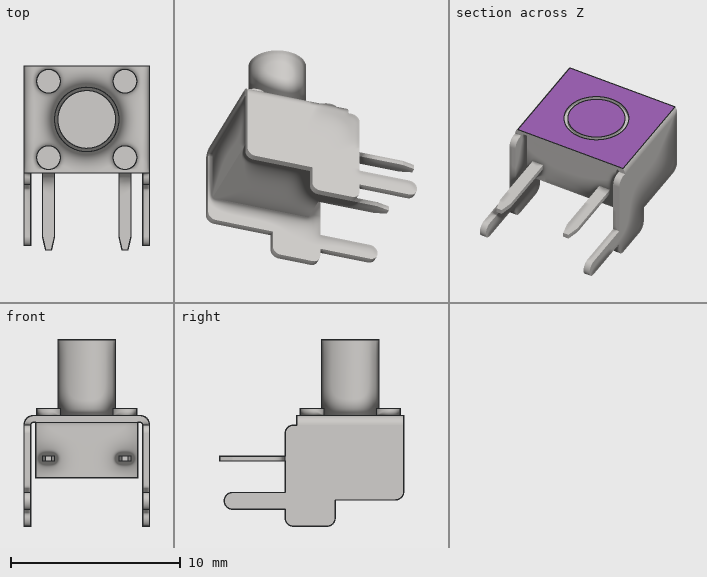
import cadquery as cq

total_height = 11.0

bracket_width = 7.4
bracket_depth = 6.31
sheet = 0.41
bracket_top = 6.53
bend_radius = 0.57
corner_radius = 0.5
wall_front = -3.84
wall_bottom = 1.55
foot_back = -0.88
tab_end = -7.42
tab_bottom = 1.0
tab_width = 1.0
cover_hole_diameter = 3.8

body_width = 6.01
body_depth = 6.01
body_bottom = 2.86
button_diameter = 3.4
stud_diameter = 1.4
stud_height = 0.41
pitch = 4.5

pin_width = 0.72
pin_thickness = 0.3
pin_bottom = 3.84
pin_tip = -7.69
pin_tip_width = 0.35
pin_taper_length = 0.77

half_width = bracket_width / 2
half_depth = bracket_depth / 2
half_pitch = pitch / 2
cover_underside = bracket_top - sheet
wall_top = bracket_top - bend_radius


def box_between(x_min, x_max, y_min, y_max, z_min, z_max):
    """Axis-aligned box given by its limits."""
    size = (x_max - x_min, y_max - y_min, z_max - z_min)
    return cq.Workplane("XY").box(*size, centered=False).translate((x_min, y_min, z_min))


def make_cover():
    """Top plate with its two rounded bends, down to where the walls begin."""
    inner_half_width = half_width - sheet
    inner_radius = bend_radius - sheet
    profile = (
        cq.Workplane("XZ", origin=(0, half_depth, 0))
        .moveTo(-half_width, wall_top)
        .radiusArc((bend_radius - half_width, bracket_top), bend_radius)
        .lineTo(half_width - bend_radius, bracket_top)
        .radiusArc((half_width, wall_top), bend_radius)
        .lineTo(inner_half_width, wall_top)
        .radiusArc((inner_half_width - inner_radius, cover_underside), -inner_radius)
        .lineTo(inner_radius - inner_half_width, cover_underside)
        .radiusArc((-inner_half_width, wall_top), -inner_radius)
        .close()
    )
    cover = profile.extrude(bracket_depth)
    hole = cq.Workplane("XY").workplane(offset=wall_top).circle(cover_hole_diameter / 2).extrude(bend_radius)
    return cover.cut(hole)


def make_wall(x_min):
    """Side wall with a lower foot and a round-ended tab pointing to -Y."""
    x_max = x_min + sheet
    panel = box_between(x_min, x_max, wall_front, half_depth, wall_bottom, wall_top)
    panel = panel.edges("|X").edges("(<Y and >Z) or (>Y and <Z)").fillet(corner_radius)
    foot = box_between(x_min, x_max, wall_front, foot_back, 0, wall_bottom + corner_radius)
    foot = foot.edges("|X and <Z").fillet(corner_radius)

    tab_radius = tab_width / 2
    tab_round_start = tab_end + tab_radius
    tab_top = tab_bottom + tab_width
    tab_root = wall_front + corner_radius
    tab = (
        cq.Workplane("YZ", origin=(x_min, 0, 0))
        .moveTo(tab_root, tab_bottom)
        .lineTo(tab_round_start, tab_bottom)
        .threePointArc((tab_end, tab_bottom + tab_radius), (tab_round_start, tab_top))
        .lineTo(tab_root, tab_top)
        .close()
        .extrude(sheet)
    )
    return panel.union(foot).union(tab)


def make_body():
    """Rectangular switch housing below the cover."""
    return box_between(-body_width / 2, body_width / 2, -body_depth / 2, body_depth / 2,
                       body_bottom, cover_underside)


def make_button():
    """Round plunger standing on the housing, clear of the cover hole."""
    return (
        cq.Workplane("XY")
        .workplane(offset=cover_underside)
        .circle(button_diameter / 2)
        .extrude(total_height - cover_underside)
    )


def make_studs():
    """Four rivet heads on the cover."""
    return (
        cq.Workplane("XY")
        .workplane(offset=bracket_top)
        .rarray(pitch, pitch, 2, 2)
        .circle(stud_diameter / 2)
        .extrude(stud_height)
    )


def make_pin(x_center):
    """Flat contact pin leaving the front of the housing, with a tapered tip."""
    root = -body_depth / 2
    taper_start = pin_tip + pin_taper_length
    return (
        cq.Workplane("XY", origin=(x_center, 0, pin_bottom))
        .polyline([
            (-pin_width / 2, root),
            (-pin_width / 2, taper_start),
            (-pin_tip_width / 2, pin_tip),
            (pin_tip_width / 2, pin_tip),
            (pin_width / 2, taper_start),
            (pin_width / 2, root),
        ])
        .close()
        .extrude(pin_thickness)
    )


result = make_body().union(make_cover()).union(make_button()).union(make_studs())
for wall_x in (-half_width, half_width - sheet):
    result = result.union(make_wall(wall_x))
for pin_x in (-half_pitch, half_pitch):
    result = result.union(make_pin(pin_x))